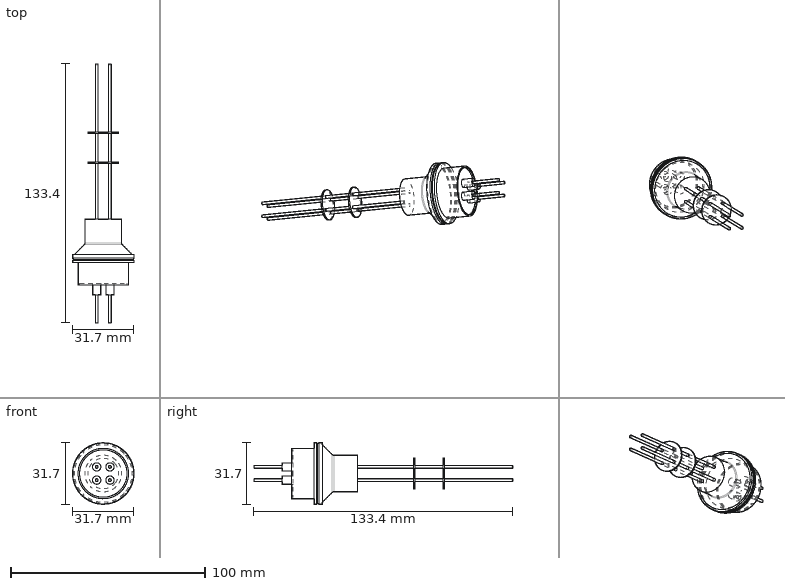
import cadquery as cq

total_length = 133.4

pin_diameter = 1.5
pin_spacing = 6.8
pin_tip_fillet = 0.4

sleeve_diameter = 4.3
sleeve_front = 14.5

barrel_diameter = 26.0
barrel_front = 19.5
rim_wall = 0.8
recess_depth = 0.8

flange_diameter = 31.7
flange_front = 31.1
front_disc_thickness = 1.2
groove_floor_width = 0.5
groove_slant_width = 0.7
groove_depth = 0.4
rear_disc_thickness = 1.9

neck_diameter = 19.0
neck_rear = 53.5
cone_base_diameter = 29.6
neck_blend_radius = 1.2

spacer_diameter = 15.7
spacer_thickness = 0.8
spacer_fronts = (82.1, 97.5)

groove_front = flange_front + front_disc_thickness
groove_floor_rear = groove_front + groove_floor_width
groove_rear = groove_floor_rear + groove_slant_width
flange_rear = groove_rear + rear_disc_thickness
cone_rear = flange_rear + (cone_base_diameter - neck_diameter) / 2


def cylinder(diameter, front, rear, centers=((0, 0),)):
    """Cylinders along Y between two Y positions, at the given (X, Z) centres."""
    plane = cq.Workplane("XZ", origin=(0, front, 0))
    return plane.pushPoints(centers).circle(diameter / 2).extrude(front - rear)


def turned_body():
    """Barrel, double flange, cone and neck as one turned profile."""
    barrel_radius = barrel_diameter / 2
    recess_radius = barrel_radius - rim_wall
    recess_floor = barrel_front + recess_depth
    flange_radius = flange_diameter / 2
    groove_radius = flange_radius - groove_depth
    profile = [
        (0, recess_floor),
        (recess_radius, recess_floor),
        (recess_radius, barrel_front),
        (barrel_radius, barrel_front),
        (barrel_radius, flange_front),
        (flange_radius, flange_front),
        (flange_radius, groove_front),
        (groove_radius, groove_front),
        (groove_radius, groove_floor_rear),
        (flange_radius, groove_rear),
        (flange_radius, flange_rear),
        (cone_base_diameter / 2, flange_rear),
        (neck_diameter / 2, cone_rear),
        (neck_diameter / 2, neck_rear),
        (0, neck_rear),
    ]
    body = cq.Workplane("XY").polyline(profile).close().revolve(360, (0, 0, 0), (0, 1, 0))
    neck_corner = cq.selectors.NearestToPointSelector((0, cone_rear, 0))
    return body.edges(neck_corner).fillet(neck_blend_radius)


def pin_centers():
    half = pin_spacing / 2
    return [(x, z) for x in (-half, half) for z in (-half, half)]


def pins():
    """Full-length pins with rounded tips."""
    return cylinder(pin_diameter, 0, total_length, pin_centers()).edges().fillet(pin_tip_fillet)


result = turned_body()
result = result.union(cylinder(sleeve_diameter, sleeve_front, flange_front, pin_centers()))
for spacer_front in spacer_fronts:
    result = result.union(cylinder(spacer_diameter, spacer_front, spacer_front + spacer_thickness))
result = result.union(pins())